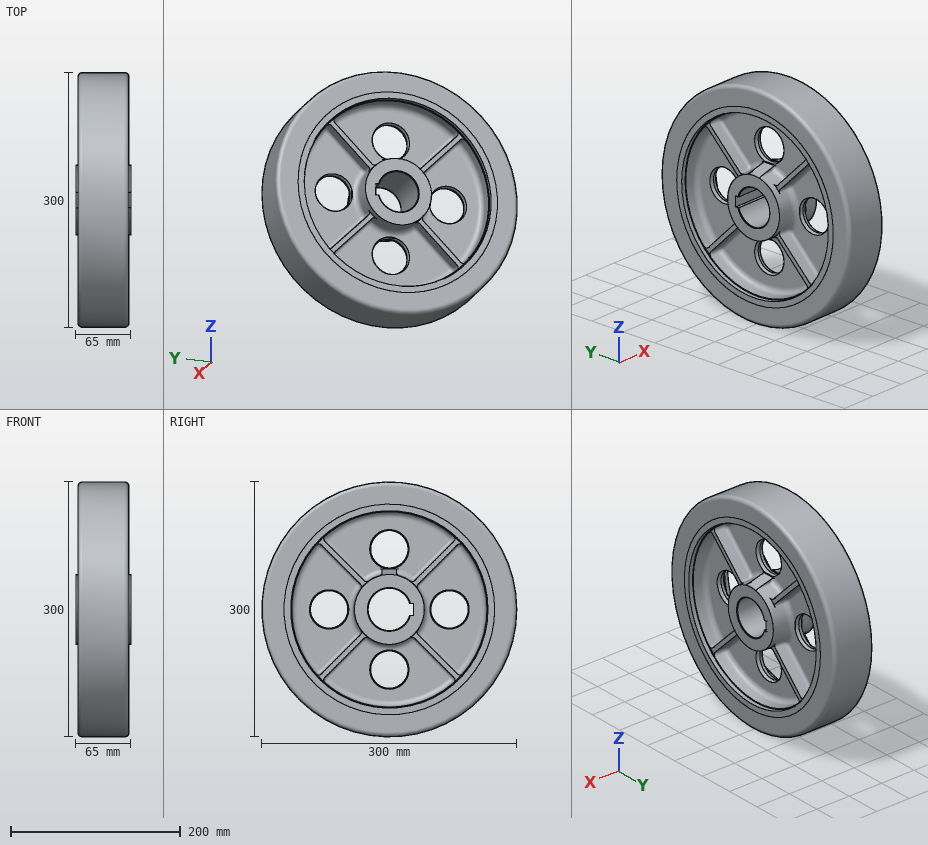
import cadquery as cq
import math


tyre_radius = 150.0
tyre_width = 60.0
tyre_edge_round = 5.0
seat_radius = 124.0

hub_radius = 41.0
hub_length = 65.0
web_thickness = 10.0
rim_inner_radius = 115.0
rim_lip_radius = 116.0
rim_lip_depth = 6.0
draft_angle = 2.0
web_fillet = 7.2

bore_radius = 25.0
bore_chamfer = 1.0
keyway_width = 13.8
keyway_reach = 28.2

hole_count = 4
hole_circle_radius = 70.8
hole_face_radius = 23.0
hole_waist_radius = 22.0

rib_count = 4
rib_first_angle = 45.0
rib_width = 6.0
rib_top_offset = 23.5
rib_fillet = 4.2

pad_width = 17.0
pad_slope = 15.0
pad_end_height = 40.2
pad_block_height = 54.0
pad_fillet = 2.0

tolerance = 0.15

half_hub = hub_length / 2
half_tyre = tyre_width / 2
half_web = web_thickness / 2
pad_rise = math.tan(math.radians(pad_slope))


def cylinder(radius, length):
    """Solid cylinder on the X axis, centred on the mid-plane."""
    return cq.Workplane("YZ").workplane(offset=-length / 2).circle(radius).extrude(length)


def turned(right_side):
    """Solid turned about the X axis from (X, radius) points, mirrored to the -X side."""
    left_side = [(-x, radius) for x, radius in reversed(right_side)]
    profile = cq.Workplane("XY").polyline(right_side + left_side).close()
    return profile.revolve(360, (0, 0, 0), (1, 0, 0))


def make_tyre():
    rounded = cylinder(tyre_radius, tyre_width).edges().fillet(tyre_edge_round)
    return rounded.cut(cylinder(seat_radius, tyre_width))


def is_web_corner(edge):
    """True for the circles where a face of the web meets the hub or the rim."""
    return abs(abs(edge.Center().x) - half_web) < tolerance


def wheel_disc():
    """Hub, web and rim turned as one profile of X against radius, with drafted hub and rim."""
    lip_floor = half_tyre - rim_lip_depth
    draft = math.tan(math.radians(draft_angle))
    hub_foot_radius = hub_radius + (half_hub - half_web) * draft
    rim_foot_radius = rim_inner_radius - (lip_floor - half_web) * draft
    right_side = [
        (half_hub, 0),
        (half_hub, hub_radius),
        (half_web, hub_foot_radius),
        (half_web, rim_foot_radius),
        (lip_floor, rim_inner_radius),
        (lip_floor, rim_lip_radius),
        (half_tyre, rim_lip_radius),
        (half_tyre, seat_radius),
    ]
    return turned(right_side).edges().filter(is_web_corner).fillet(web_fillet)


def add_ribs(wheel):
    """Each bar crosses the axis and the web, giving two opposite ribs on both sides of the web."""
    reach = (rim_inner_radius + seat_radius) / 2
    bar = cq.Workplane("XY").box(2 * rib_top_offset, rib_width, 2 * reach)
    for i in range(rib_count // 2):
        wheel = wheel.union(bar.rotate((0, 0, 0), (1, 0, 0), rib_first_angle + i * 360 / rib_count))
    return wheel


def is_rib_foot(edge):
    """True for the edges where the side of a rib meets the web, the hub or the rim."""
    middle = edge.Center()
    radius = math.hypot(middle.y, middle.z)
    angle = math.atan2(middle.z, middle.y) - math.radians(rib_first_angle)
    angle_from_rib = math.remainder(angle, 2 * math.pi / rib_count)
    distance_from_rib = abs(radius * math.sin(angle_from_rib))
    on_rib_side = abs(distance_from_rib - rib_width / 2) < tolerance
    below_rib_top = abs(middle.x) < rib_top_offset - tolerance
    inside_pocket = hub_radius - tolerance < radius < rim_inner_radius + tolerance
    return on_rib_side and below_rib_top and inside_pocket


def is_pad_foot(edge):
    """True for the edges where the sides of the pad block meet the hub and the web."""
    middle = edge.Center()
    on_pad_side = abs(abs(middle.y) - pad_width / 2) < tolerance
    below_block_top = bore_radius < middle.z < pad_block_height - tolerance
    return on_pad_side and below_block_top and abs(middle.x) < half_hub - tolerance


def space_above_pad():
    """Space over the slope on the +X half of the hub, wide enough to clear the pad fillets."""
    return (
        cq.Workplane("XZ")
        .moveTo(half_hub, pad_end_height)
        .lineTo(half_hub, pad_block_height)
        .lineTo(0, pad_block_height)
        .lineTo(0, pad_end_height + half_hub * pad_rise)
        .close()
        .extrude(pad_width / 2 + pad_fillet, both=True)
    )


def add_pads(wheel):
    """A filleted block along the top of the hub, cut down on both sides to slopes."""
    block = cq.Workplane("XY").box(
        hub_length, pad_width, pad_block_height, centered=(True, True, False)
    )
    wheel = wheel.union(block).edges().filter(is_pad_foot).fillet(pad_fillet)
    waste = space_above_pad().cut(wheel_disc())
    return wheel.cut(waste).cut(waste.mirror("YZ"))


def web_hole():
    """Hole through the web above the hub, tapering from both faces to its waist."""
    half_hole = (
        cq.Workplane("YZ")
        .center(0, hole_circle_radius)
        .circle(hole_waist_radius)
        .workplane(offset=half_web)
        .circle(hole_face_radius)
        .loft()
    )
    return half_hole.union(half_hole.mirror("YZ"))


def keyed_bore():
    """Bore chamfered at both ends, with the keyway on its +Y side."""
    keyway = cq.Workplane("XY").box(
        hub_length, keyway_reach, keyway_width, centered=(True, False, True)
    )
    bore = turned(
        [
            (half_hub, 0),
            (half_hub, bore_radius + bore_chamfer),
            (half_hub - bore_chamfer, bore_radius),
        ]
    )
    return bore.union(keyway)


def make_wheel():
    wheel = add_ribs(wheel_disc())
    wheel = wheel.edges().filter(is_rib_foot).fillet(rib_fillet)
    wheel = add_pads(wheel)
    hole = web_hole()
    for i in range(hole_count):
        wheel = wheel.cut(hole.rotate((0, 0, 0), (1, 0, 0), i * 360 / hole_count))
    return wheel.cut(keyed_bore())


tyre = make_tyre()
wheel = make_wheel()
result = cq.Compound.makeCompound([tyre.solids().val(), wheel.solids().val()])